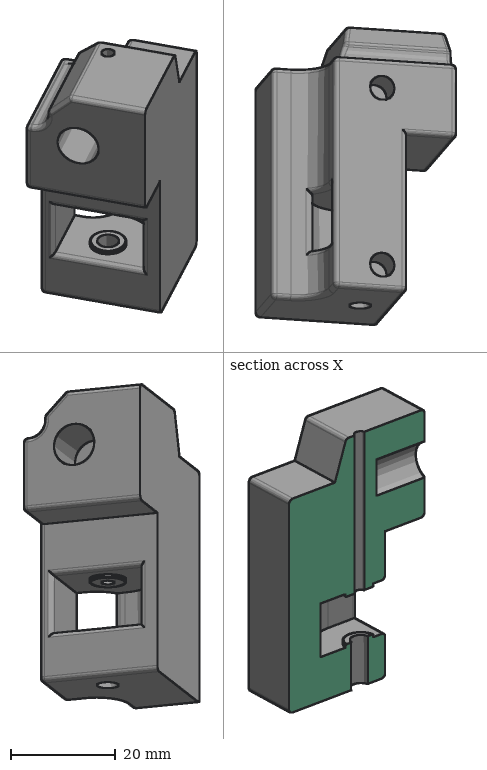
import cadquery as cq
import math

margin = 0.55
sliver = 0.005

width = 23.85
depth = 33.8
height = 54.3
edge_radius = 1.0

ledge_z = 45.85
overhang_depth = 9.8
overhang_z = 31.2

relief_radius = 6.05
relief_width = 10.35
relief_depth = 9.7
relief_y = depth - relief_depth
relief_center_x = relief_width - relief_radius
relief_center_y = relief_y + relief_radius

groove_radius = 3.2
groove_center_x = 1.15
groove_center_z = ledge_z + groove_radius
head_left_x = groove_center_x + groove_radius
bevel_start_z = 49.85
bevel_size = height - bevel_start_z
head_base_y = 22.35
head_top_y = 19.55
head_root = 2.7

axle_x = 11.5
axle_y = 16.25
cavity_radius = 8.8
cavity_back_y = 25.85
cavity_bottom_z = 9.65
cavity_top_z = 21.0

boss_diameter = 7.0
boss_height = 0.65
boss_chamfer = 0.2

axle_diameter = 4.1
key_diameter = 2.5
bore_diameter = 8.15
bore_x = 10.5
bore_z = 43.45
bore_depth = 11.95
pin_diameter = 4.7
pin_y = 14.65
pin_heights = (5.0, 40.1)
pin_depth = 6.5


def in_box(low, high):
    return cq.selectors.BoxSelector(low, high)


def arc_middle(center_x, center_y, radius, side_y):
    """Point halfway along a quarter arc to the right of its center; side_y is 1 or -1."""
    offset = radius * math.sqrt(0.5)
    return (center_x + offset, center_y + side_y * offset)


def make_column_block():
    """Column with the overhang and the corner relief, all edges sharp."""
    undercut = cq.Workplane("XY").box(width, overhang_depth, overhang_z, centered=False)
    return (
        cq.Workplane("XY")
        .lineTo(width, 0)
        .lineTo(width, depth)
        .lineTo(relief_width, depth)
        .lineTo(relief_width, relief_center_y)
        .threePointArc(
            arc_middle(relief_center_x, relief_center_y, relief_radius, -1),
            (relief_center_x, relief_y),
        )
        .lineTo(0, relief_y)
        .close()
        .extrude(ledge_z)
        .cut(undercut)
    )


def make_column():
    """Column with its edges rounded, except around the front and mating faces."""
    column = make_column_block()
    relief_arc_ends = in_box(
        (relief_center_x - margin, relief_y - margin, margin),
        (relief_width + margin, relief_center_y + margin, ledge_z - margin),
    )
    overhang_corner = cq.selectors.NearestToPointSelector((width / 2, overhang_depth, overhang_z))
    edges = cq.selectors.StringSyntaxSelector
    kept_sharp = relief_arc_ends + overhang_corner
    return column.edges(edges("not(<Y or >X)") - kept_sharp).fillet(edge_radius)


def make_head():
    """Raised head whose foot is buried in the column, rounded on its sloping back and bevel."""
    head_bottom_z = ledge_z - head_root
    slope = (head_base_y - head_top_y) / (height - ledge_z)
    head_bottom_y = head_base_y + head_root * slope
    blank = (
        cq.Workplane("YZ")
        .moveTo(0, head_bottom_z)
        .lineTo(0, height)
        .lineTo(head_top_y, height)
        .lineTo(head_bottom_y, head_bottom_z)
        .close()
        .extrude(width)
    )
    outline = (
        cq.Workplane("XZ")
        .moveTo(groove_center_x, head_bottom_z)
        .lineTo(groove_center_x, ledge_z)
        .threePointArc(
            arc_middle(groove_center_x, groove_center_z, groove_radius, -1),
            (head_left_x, groove_center_z),
        )
        .lineTo(head_left_x, bevel_start_z)
        .lineTo(head_left_x + bevel_size, height)
        .lineTo(width, height)
        .lineTo(width, head_bottom_z)
        .close()
        .extrude(-depth)
    )
    head = blank.intersect(outline)
    groove_top = cq.selectors.NearestToPointSelector((head_left_x, head_base_y / 2, groove_center_z))
    above_ledge = in_box((0, sliver, ledge_z + sliver), (width - sliver, depth, height + margin))
    return head.edges(above_ledge - groove_top).fillet(edge_radius)


def make_body():
    """Column and head joined, then rounded together along the front face."""
    body = make_column().union(make_head())
    return body.faces("<Y").edges("not >X").fillet(edge_radius)


def make_cavity():
    """Cavity with rounded, mitred rims at the front face and at the corner relief.

    It is the common part of two voids: one with the cavity's plan and rims
    flared sideways, and one with the cavity's height and rims flared up and down.
    """
    left_x = axle_x - cavity_radius
    right_x = axle_x + cavity_radius
    arc_center_y = cavity_back_y - cavity_radius
    block = make_column_block()

    plan_void = (
        cq.Workplane("XY")
        .moveTo(left_x, 0)
        .lineTo(right_x, 0)
        .lineTo(right_x, arc_center_y)
        .threePointArc(arc_middle(axle_x, arc_center_y, cavity_radius, 1), (axle_x, cavity_back_y))
        .lineTo(left_x, cavity_back_y)
        .close()
        .extrude(overhang_z)
    )
    front_sides = in_box(
        (left_x - margin, overhang_depth - margin, margin),
        (right_x + margin, overhang_depth + margin, overhang_z),
    )
    relief_left = in_box(
        (left_x - margin, relief_y - margin, margin),
        (left_x + margin, relief_y + margin, overhang_z),
    )
    relief_right = in_box(
        (relief_center_x + margin, cavity_back_y - margin, margin),
        (relief_width - margin, cavity_back_y + margin, overhang_z),
    )
    flared_sideways = block.cut(plan_void).edges(front_sides + relief_left + relief_right).fillet(edge_radius)

    slot_void = cq.Workplane("XY", origin=(0, 0, cavity_bottom_z)).box(
        width, depth, cavity_top_z - cavity_bottom_z, centered=False
    )
    rims = in_box(
        (0, 0, cavity_bottom_z - margin),
        (width - margin, relief_center_y - margin, cavity_top_z + margin),
    )
    flared_upright = block.cut(slot_void).edges(rims).edges("not <X").fillet(edge_radius)

    return block.cut(flared_sideways).intersect(block.cut(flared_upright))


def make_boss():
    """Boss standing upright on the origin, chamfered around its top."""
    return cq.Workplane("XY").circle(boss_diameter / 2).extrude(boss_height).faces(">Z").chamfer(boss_chamfer)


def hole_up(diameter, bottom_z, top_z):
    """Cylinder on the axle axis between two heights."""
    return (
        cq.Workplane("XY", origin=(axle_x, axle_y, bottom_z))
        .circle(diameter / 2)
        .extrude(top_z - bottom_z)
    )


result = make_body().cut(make_cavity())

floor_boss = make_boss().translate((axle_x, axle_y, cavity_bottom_z))
ceiling_boss = make_boss().mirror("XY").translate((axle_x, axle_y, cavity_top_z))
result = result.union(floor_boss).union(ceiling_boss)

result = result.cut(hole_up(axle_diameter, 0, cavity_bottom_z + boss_height))
result = result.cut(hole_up(key_diameter, cavity_top_z - boss_height, height))

bore = cq.Workplane("XZ", origin=(bore_x, 0, bore_z)).circle(bore_diameter / 2).extrude(-bore_depth)
result = result.cut(bore)

for pin_z in pin_heights:
    pin_hole = cq.Workplane("YZ", origin=(0, pin_y, pin_z)).circle(pin_diameter / 2).extrude(pin_depth)
    result = result.cut(pin_hole)